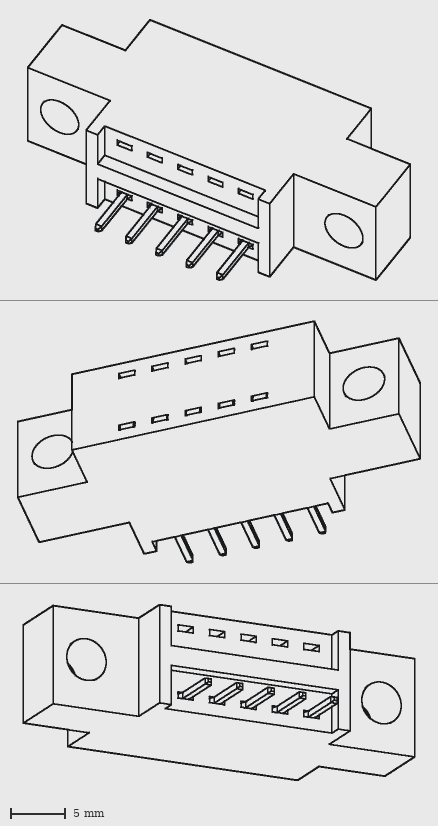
import cadquery as cq

height = 9.4
flange_length = 36.45
rear_length = 23.2
front_length = 19.2
total_depth = 19.05
front_depth = 4.4
flange_depth = 6.35
rear_depth = 4.52
housing_depth = front_depth + flange_depth + rear_depth

hole_diameter = 3.97
hole_offset = 14.87

pocket_length = 16.8
pocket_depth = 1.3
web_thickness = 1.9
pocket_height = (height - web_thickness) / 2

contact_count = 5
contact_pitch = 3.17
slot_width = 1.53
slot_height = 0.6
row_inset = 1.5

pin_width = 0.62
blade_width = 1.28
shoulder_length = 0.9
tip_length = 0.35
tip_width = 0.3

rear_y = housing_depth
pin_tip_y = housing_depth - total_depth
lower_row_z = row_inset
upper_row_z = height - row_inset
contact_xs = [(i - (contact_count - 1) / 2) * contact_pitch for i in range(contact_count)]


def block(length, y_start, depth, z_start, block_height, x_middle=0.0):
    """Box centred on x_middle, growing along +Y and +Z from the given start."""
    corner = (x_middle - length / 2, y_start, z_start)
    return cq.Workplane("XY").box(length, depth, block_height, centered=False).translate(corner)


def make_housing():
    body = block(front_length, 0, housing_depth, 0, height)
    body = body.union(block(flange_length, front_depth, flange_depth, 0, height))
    body = body.union(block(rear_length, front_depth, flange_depth + rear_depth, 0, height))

    for side in (-1, 1):
        hole = cq.Workplane("XZ").center(side * hole_offset, height / 2).circle(hole_diameter / 2)
        body = body.cut(hole.extrude(-housing_depth))

    for z_start in (0, height - pocket_height):
        body = body.cut(block(pocket_length, 0, pocket_depth, z_start, pocket_height))

    for row_z in (lower_row_z, upper_row_z):
        for x in contact_xs:
            body = body.cut(block(slot_width, 0, housing_depth, row_z - slot_height / 2, slot_height, x))
    return body


def make_contact(x):
    """Pin with a tapered tip, widening inside its slot into a flat blade."""
    blade_y = pocket_depth + shoulder_length
    pin_base_y = pin_tip_y + tip_length
    half_pin = pin_width / 2
    half_blade = blade_width / 2
    outline = [
        (-half_pin, pin_base_y),
        (half_pin, pin_base_y),
        (half_pin, pocket_depth),
        (half_blade, blade_y),
        (half_blade, rear_y),
        (-half_blade, rear_y),
        (-half_blade, blade_y),
        (-half_pin, pocket_depth),
    ]
    body = cq.Workplane("XY").polyline(outline).close().extrude(slot_height / 2, both=True)
    tip = (
        cq.Workplane("XZ", origin=(0, pin_base_y, 0))
        .rect(pin_width, slot_height)
        .workplane(offset=tip_length)
        .rect(tip_width, tip_width)
        .loft(ruled=True)
    )
    return body.union(tip).translate((x, 0, lower_row_z))


housing = make_housing()
contacts = [make_contact(x) for x in contact_xs]

result = cq.Compound.makeCompound([housing.val(), *[contact.val() for contact in contacts]])